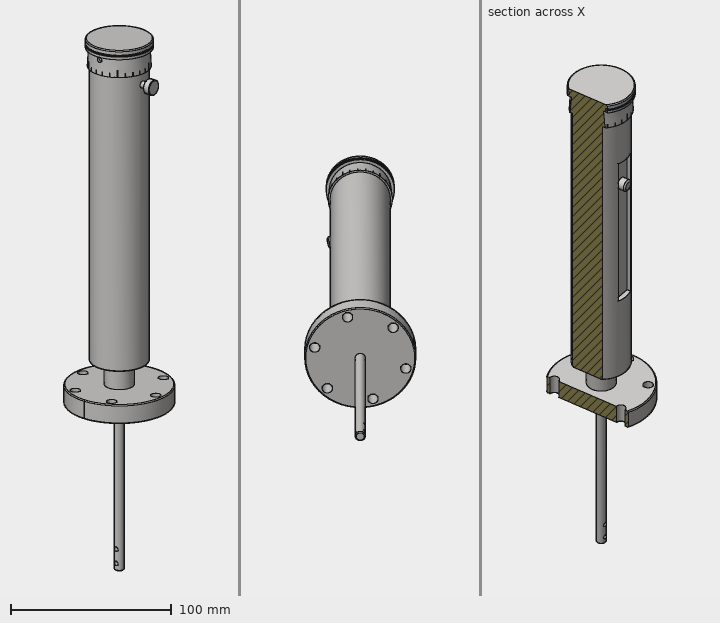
import cadquery as cq

total_height = 356.7

rod_diameter = 6.5
rod_tip_chamfer = 0.7
rod_hole_diameter = 3.0
rod_hole_heights = (5.0, 14.5)

flange_diameter = 69.2
flange_thickness = 13.0
flange_bottom = 111.5
flange_top = flange_bottom + flange_thickness
flange_chamfer = 0.7
bolt_hole_count = 6
bolt_hole_diameter = 6.5
bolt_circle_diameter = 58.5
scribe_width = 0.18
scribe_depth = 0.18

neck_diameter = 19.0
neck_collar_diameter = 19.3
neck_collar_height = 1.0
body_diameter = 37.5
body_bottom = 140.2
body_chamfer = 0.7

slot_width = 13.0
slot_bottom = 199.5
slot_top = 306.8
slot_depth = 3.5
button_diameter = 8.0
button_height = 286.8
button_reach = 20.7
button_chamfer = 1.0

thimble_bottom = 338.2
thimble_lower_diameter = 40.0
thimble_upper_diameter = 38.5
set_screw_diameter = 3.45
set_screw_height = 348.0
set_screw_depth = 1.8
tick_count = 25
ticks_per_long_tick = 5
tick_width = 0.5
tick_depth = 0.18
short_tick_length = 2.5
long_tick_length = 4.5

cap_diameter = 42.5
cap_thickness = 6.0
cap_bottom = total_height - cap_thickness
cap_top_chamfer = 0.7
cap_groove_diameter = 40.5
cap_groove_bottom = 352.5
cap_groove_width = 1.0

knob_height = 330.5
knob_shaft_diameter = 4.5
knob_head_diameter = 10.0
knob_head_start = 23.2
knob_head_end = 28.0
knob_head_chamfer = 0.5


def disc(diameter, bottom, top):
    """Cylinder on the Z axis between two heights."""
    return cq.Workplane("XY").workplane(offset=bottom).circle(diameter / 2).extrude(top - bottom)


def make_rod():
    rod = disc(rod_diameter, 0, flange_top).faces("<Z").chamfer(rod_tip_chamfer)
    holes = (
        cq.Workplane("XZ")
        .pushPoints([(0, height) for height in rod_hole_heights])
        .circle(rod_hole_diameter / 2)
        .extrude(rod_diameter, both=True)
    )
    return rod.cut(holes)


def make_flange():
    flange = disc(flange_diameter, flange_bottom, flange_top).edges().chamfer(flange_chamfer)
    bolt_holes = (
        cq.Workplane("XY")
        .workplane(offset=flange_bottom)
        .polarArray(bolt_circle_diameter / 2, 0, 360, bolt_hole_count)
        .circle(bolt_hole_diameter / 2)
        .extrude(flange_thickness)
    )
    scribe = cq.Workplane("XY").box(scribe_width, 2 * scribe_depth, flange_thickness)
    scribe = scribe.translate((0, -flange_diameter / 2, flange_bottom + flange_thickness / 2))
    return flange.cut(bolt_holes).cut(scribe)


def make_body():
    body = disc(body_diameter, body_bottom, cap_bottom).faces("<Z").chamfer(body_chamfer)
    slot_length = slot_top - slot_bottom
    slot_floor = body_diameter / 2 - slot_depth
    slot = (
        cq.Workplane("XZ", origin=(0, slot_floor, (slot_top + slot_bottom) / 2))
        .rect(slot_width, slot_length)
        .extrude(-2 * slot_depth)
    )
    button = (
        cq.Workplane("XZ", origin=(0, 0, button_height))
        .circle(button_diameter / 2)
        .extrude(-button_reach)
        .faces(">Y")
        .chamfer(button_chamfer)
    )
    return body.cut(slot).union(button)


def thimble_radius(height):
    """Outer radius of the conical thimble at a height."""
    rise = (height - thimble_bottom) / (cap_bottom - thimble_bottom)
    return (thimble_lower_diameter + rise * (thimble_upper_diameter - thimble_lower_diameter)) / 2


def make_tick(index):
    """Cutter for one graduation; every fifth one is long and the first one lies on +Y."""
    length = long_tick_length if index % ticks_per_long_tick == 0 else short_tick_length
    middle = thimble_bottom + length / 2
    tick = cq.Workplane("XY").box(2 * tick_depth, tick_width, length)
    tick = tick.translate((thimble_radius(middle), 0, middle))
    return tick.rotate((0, 0, 0), (0, 0, 1), 90 + index * 360 / tick_count)


def make_thimble():
    thimble = (
        cq.Workplane("XY")
        .workplane(offset=thimble_bottom)
        .circle(thimble_lower_diameter / 2)
        .workplane(offset=cap_bottom - thimble_bottom)
        .circle(thimble_upper_diameter / 2)
        .loft()
    )
    for index in range(tick_count):
        thimble = thimble.cut(make_tick(index))
    return thimble


def make_set_screw_hole():
    """Cutter for the blind hole in the -Y side of the thimble."""
    floor = thimble_radius(set_screw_height) - set_screw_depth
    return (
        cq.Workplane("XZ", origin=(0, -floor, set_screw_height))
        .circle(set_screw_diameter / 2)
        .extrude(2 * set_screw_depth)
    )


def make_cap():
    cap = disc(cap_diameter, cap_bottom, total_height).faces(">Z").chamfer(cap_top_chamfer)
    groove_top = cap_groove_bottom + cap_groove_width
    groove = disc(cap_diameter, cap_groove_bottom, groove_top).cut(
        disc(cap_groove_diameter, cap_groove_bottom, groove_top)
    )
    return cap.cut(groove)


def make_knob():
    shaft = (
        cq.Workplane("YZ", origin=(0, 0, knob_height))
        .circle(knob_shaft_diameter / 2)
        .extrude(knob_head_start)
    )
    head = (
        cq.Workplane("YZ", origin=(knob_head_start, 0, knob_height))
        .circle(knob_head_diameter / 2)
        .extrude(knob_head_end - knob_head_start)
        .edges()
        .chamfer(knob_head_chamfer)
    )
    return shaft.union(head)


result = (
    make_rod()
    .union(make_flange())
    .union(disc(neck_diameter, flange_top, body_bottom))
    .union(disc(neck_collar_diameter, body_bottom - neck_collar_height, body_bottom))
    .union(make_body())
    .union(make_thimble())
    .cut(make_set_screw_hole())
    .union(make_cap())
    .union(make_knob())
)